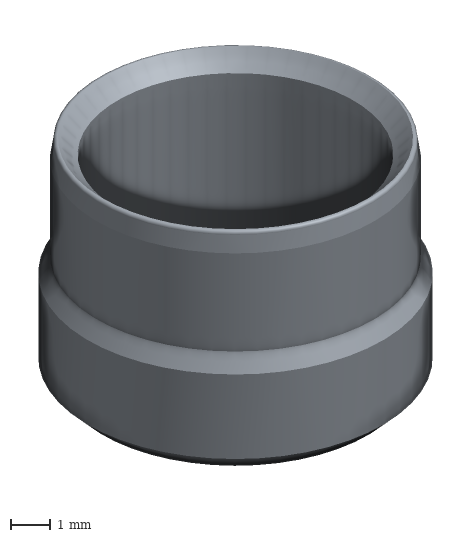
import cadquery as cq

height = 7.0
bore_radius = 8.0 / 2
collar_radius = 10.0 / 2
sleeve_radius = 9.4 / 2

bottom_chamfer = 0.5
collar_top = 3.0
shoulder_top = 3.5

taper_start = 6.4
rim_radius = 4.62
rim_rounding = 0.1
mouth_radius = 9.0 / 2
mouth_depth = 0.5


def half_section():
    """Half section of the ring as (radius, height) points in the XZ plane."""
    return (
        cq.Workplane("XZ")
        .moveTo(bore_radius, 0)
        .lineTo(collar_radius - bottom_chamfer, 0)
        .lineTo(collar_radius, bottom_chamfer)
        .lineTo(collar_radius, collar_top)
        .lineTo(sleeve_radius, shoulder_top)
        .lineTo(sleeve_radius, taper_start)
        .lineTo(rim_radius, height - rim_rounding)
        .radiusArc((rim_radius - rim_rounding, height), -rim_rounding)
        .lineTo(mouth_radius, height)
        .lineTo(bore_radius, height - mouth_depth)
        .close()
    )


result = half_section().revolve(360, (0, 0, 0), (0, 1, 0))